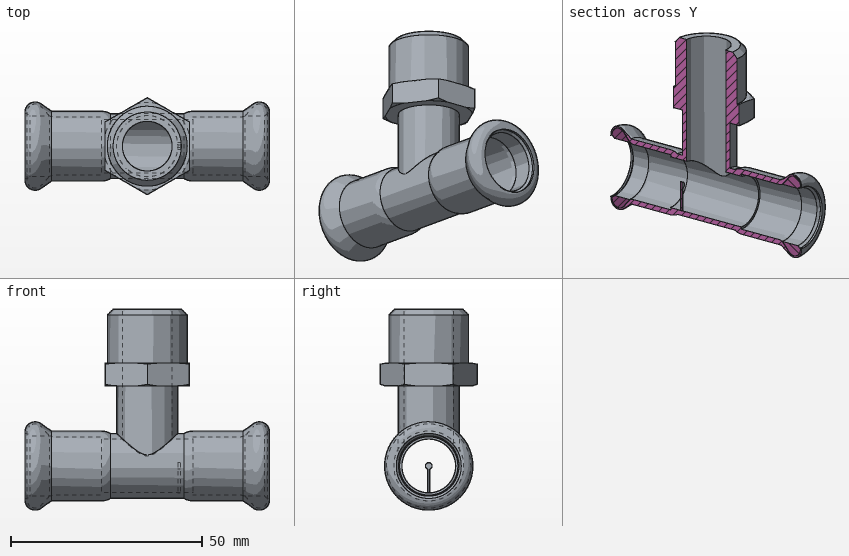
import cadquery as cq
import math

half_length = 32.0
tube_radius = 17.0 / 2
tube_bore_radius = 14.0 / 2
tube_end = 9.6
socket_radius = 18.3 / 2
socket_bore_radius = 15.2 / 2
socket_start = 11.9
shoulder_rise = socket_radius - tube_radius
shoulder_length = socket_start - tube_end
shoulder_radius = (shoulder_length**2 + shoulder_rise**2) / (2 * shoulder_rise)

bead_radius = 11.6
bead_round = 2.7
bead_cone_start = 25.0
bead_centre_x = half_length - bead_round
bead_centre_r = bead_radius - bead_round
bead_wall = 0.6
mouth_radius = 17.0 / 2
seal_inner_radius = 15.8 / 2
seal_land_start = 25.6
seal_land_end = 30.7
lead_in_start = 24.6

branch_radius = 16.0 / 2
branch_bore_radius = 13.0 / 2
top_z = 41.0
thread_radius = 20.9 / 2
thread_chamfer = 1.55
hex_bottom = 20.9
hex_top = 26.9
hex_corners = 25.4
hex_face_radius = 11.45
hex_top_drop = 0.25
hex_bottom_rise = 0.45

pointer_x = 8.3
pointer_thickness = 0.65
pointer_head_radius = 0.9
pointer_stem_width = 0.65


def revolve_about_x(profile):
    return profile.close().revolve(360, (0, 0, 0), (1, 0, 0))


def bead_section(round_radius, cone_foot):
    cone_dx = bead_centre_x - cone_foot[0]
    cone_dr = bead_centre_r - cone_foot[1]
    centre_distance = math.hypot(cone_dx, cone_dr)
    cone_angle = math.atan2(cone_dr, cone_dx) + math.asin(round_radius / centre_distance)
    tangent = (
        bead_centre_x - round_radius * math.sin(cone_angle),
        bead_centre_r + round_radius * math.cos(cone_angle),
    )
    crown = (bead_centre_x, bead_centre_r + round_radius)
    return tangent, crown


def at_end(profile_point, side):
    along, radius = profile_point
    return side * along, radius


def run_outside():
    tangent, crown = bead_section(bead_round, (bead_cone_start, socket_radius))
    return revolve_about_x(
        cq.Workplane("XY")
        .moveTo(-half_length, 0)
        .lineTo(-half_length, bead_centre_r)
        .threePointArc(at_end(crown, -1), at_end(tangent, -1))
        .lineTo(-bead_cone_start, socket_radius)
        .lineTo(-socket_start, socket_radius)
        .radiusArc((-tube_end, tube_radius), shoulder_radius)
        .lineTo(tube_end, tube_radius)
        .radiusArc((socket_start, socket_radius), shoulder_radius)
        .lineTo(bead_cone_start, socket_radius)
        .lineTo(*tangent)
        .threePointArc(crown, (half_length, bead_centre_r))
        .lineTo(half_length, 0)
    )


def make_seal(side):
    seal_round = bead_round - bead_wall
    seal_foot = (seal_land_start, seal_inner_radius)
    tangent, crown = bead_section(seal_round, seal_foot)
    lip_dx = math.sqrt(seal_round**2 - (bead_centre_r - mouth_radius) ** 2)
    lip = (bead_centre_x + lip_dx, mouth_radius)
    return revolve_about_x(
        cq.Workplane("XY")
        .moveTo(*at_end(seal_foot, side))
        .lineTo(*at_end(tangent, side))
        .threePointArc(at_end(crown, side), at_end(lip, side))
        .lineTo(side * seal_land_end, seal_inner_radius)
    )


def run_inside():
    inside = cq.Workplane("YZ").circle(tube_bore_radius).extrude(half_length, both=True)
    for side in (-1, 1):
        socket = revolve_about_x(
            cq.Workplane("XY")
            .moveTo(side * socket_start, 0)
            .lineTo(side * socket_start, socket_bore_radius)
            .lineTo(side * lead_in_start, socket_bore_radius)
            .lineTo(side * seal_land_start, seal_inner_radius)
            .lineTo(side * seal_land_end, seal_inner_radius)
            .lineTo(side * seal_land_end, mouth_radius)
            .lineTo(side * half_length, mouth_radius)
            .lineTo(side * half_length, 0)
        )
        inside = inside.union(socket).union(make_seal(side))
    return inside


def make_hexagon():
    prism = (
        cq.Workplane("XY").workplane(offset=hex_bottom)
        .transformed(rotate=(0, 0, 90))
        .polygon(6, hex_corners).extrude(hex_top - hex_bottom)
    )
    corner_radius = hex_corners / 2
    chamfer_envelope = (
        cq.Workplane("XZ")
        .moveTo(0, hex_bottom)
        .lineTo(hex_face_radius, hex_bottom)
        .lineTo(corner_radius, hex_bottom + hex_bottom_rise)
        .lineTo(corner_radius, hex_top - hex_top_drop)
        .lineTo(hex_face_radius, hex_top)
        .lineTo(0, hex_top)
        .close().revolve(360, (0, 0, 0), (0, 1, 0))
    )
    return prism.intersect(chamfer_envelope)


def make_tee():
    branch = cq.Workplane("XY").circle(branch_radius).extrude(hex_bottom)
    thread = (
        cq.Workplane("XY").workplane(offset=hex_top)
        .circle(thread_radius).extrude(top_z - hex_top)
        .faces(">Z").chamfer(thread_chamfer)
    )
    branch_bore = cq.Workplane("XY").circle(branch_bore_radius).extrude(top_z)
    outside = run_outside().union(branch).union(make_hexagon()).union(thread)
    return outside.cut(run_inside()).cut(branch_bore)


def make_pointer():
    plane = cq.Workplane("YZ").workplane(offset=pointer_x - pointer_thickness / 2)
    head = plane.circle(pointer_head_radius).extrude(pointer_thickness)
    stem = (
        plane.center(0, -tube_bore_radius / 2)
        .rect(pointer_stem_width, tube_bore_radius).extrude(pointer_thickness)
    )
    bore_space = plane.circle(tube_bore_radius).extrude(pointer_thickness)
    return head.union(stem).intersect(bore_space)


tee = make_tee()
seals = [make_seal(side) for side in (-1, 1)]
pointer = make_pointer()

result = cq.Compound.makeCompound([tee.val(), *[seal.val() for seal in seals], pointer.val()])